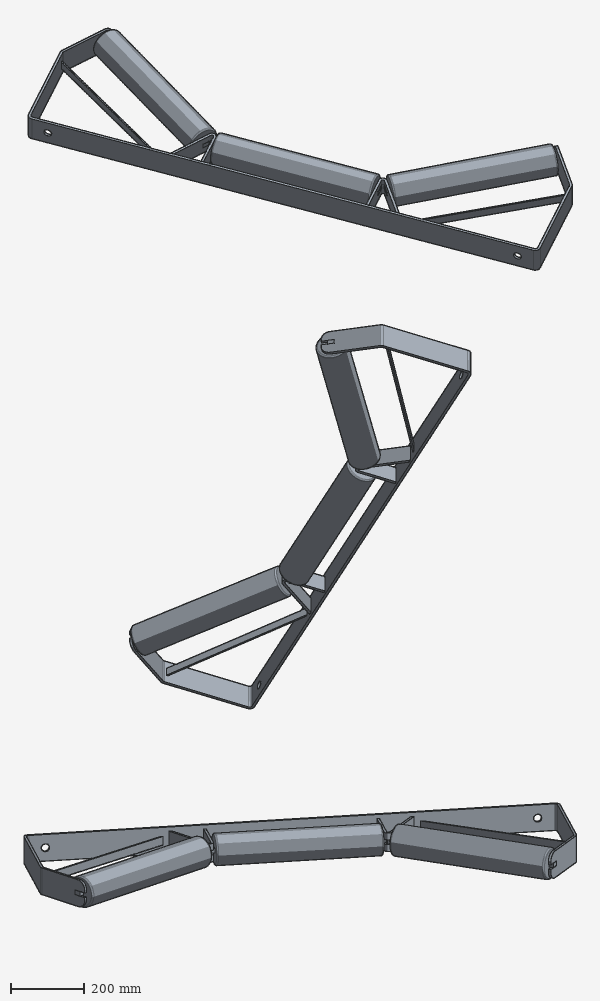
import cadquery as cq
import math


FRAME_LENGTH = 1490.0
STRIP_WIDTH = 77.0
STRIP_THICKNESS = 7.0
FOLD_HEIGHT = 271.0
ARM_LENGTH = 170.0
ARM_TIP_RADIUS = 25.0
BASE_BEND_RADIUS = 15.0
FOLD_BEND_RADIUS = 15.0
MOUNTING_HOLE_DIAMETER = 22.0
MOUNTING_HOLE_INSET = 61.0

TROUGH_ANGLE = 35.0
ROLLER_DIAMETER = 90.0
ROLLER_LENGTH = 465.0
ROLLER_EDGE_RADIUS = 5.0
CENTRE_ROLLER_HEIGHT = 103.0
WING_ROLLER_MIDDLE = (462.0, 247.0)
SHAFT_HEIGHT = 20.0
SHAFT_WIDTH = 13.0
INNER_GAP = 5.0

BRACKET_WIDTH = 54.0
BRACKET_BEND_RADIUS = 12.0
BRACE_WIDTH = 25.0
BRACE_THICKNESS = 5.0
BRACE_TOP_HEIGHT = 261.0
BRACE_FOOT_X = 358.0

HALF_LENGTH = FRAME_LENGTH / 2
HALF_ROLLER = ROLLER_LENGTH / 2
COS_TROUGH = math.cos(math.radians(TROUGH_ANGLE))
SIN_TROUGH = math.sin(math.radians(TROUGH_ANGLE))
AXIS = (COS_TROUGH, SIN_TROUGH)
ARM = (-SIN_TROUGH, COS_TROUGH)


def offset(point, direction, distance):
    """Move a point in the XY plane along a direction."""
    return (point[0] + direction[0] * distance, point[1] + direction[1] * distance)


def along(point, direction):
    """Distance of a point from the origin, measured along a direction."""
    return point[0] * direction[0] + point[1] * direction[1]


def plate(points, width):
    """Extrude an XY outline to a width centred on Z = 0."""
    return cq.Workplane("XY").polyline(points).close().extrude(width / 2, both=True)


def mirrored(body):
    """The same body on the opposite side of the YZ plane."""
    return body.mirror("YZ")


def round_corner(body, corner, radius):
    """Round the Z edge of a body that passes through an XY point."""
    reach = 0.1
    box = cq.selectors.BoxSelector(
        (corner[0] - reach, corner[1] - reach, -STRIP_WIDTH),
        (corner[0] + reach, corner[1] + reach, STRIP_WIDTH),
    )
    return body.edges("|Z").edges(box).fillet(radius)


FOLD = (HALF_LENGTH, FOLD_HEIGHT)
ARM_REACH = along(FOLD, AXIS) - along(WING_ROLLER_MIDDLE, AXIS)
LEG_REACH = HALF_ROLLER + INNER_GAP
INNER_SHAFT_REACH = LEG_REACH + STRIP_THICKNESS


def make_bar(start, end, bottom, top):
    """Bar along X, as wide as the shaft ends, between two X and two Y limits."""
    return (
        cq.Workplane("XY")
        .box(end - start, top - bottom, SHAFT_WIDTH, centered=(False, False, True))
        .translate((start, bottom, 0))
    )


def make_roller(left_reach, right_reach):
    """Roller along X with its flat shaft ends, reaching left and right of its middle."""
    drum = (
        cq.Workplane("YZ").workplane(offset=-HALF_ROLLER)
        .circle(ROLLER_DIAMETER / 2).extrude(ROLLER_LENGTH)
        .faces("<X or >X").edges().fillet(ROLLER_EDGE_RADIUS)
    )
    return drum.union(make_bar(-left_reach, right_reach, -SHAFT_HEIGHT / 2, SHAFT_HEIGHT / 2))


def make_shaft_slot(start, end):
    """Cutter along X for a shaft slot that is open upward."""
    return make_bar(start, end, -SHAFT_HEIGHT / 2, ROLLER_DIAMETER)


def place_on_wing(body):
    """Move a body from the X axis to the right wing roller axis."""
    x, y = WING_ROLLER_MIDDLE
    return body.rotate((0, 0, 0), (0, 0, 1), TROUGH_ANGLE).translate((x, y, 0))


def make_frame_half():
    """Right half of the bent strip: base, upright side and leaning arm."""
    bend_shift = STRIP_THICKNESS * math.tan(math.radians(TROUGH_ANGLE / 2))
    inner_x = HALF_LENGTH - STRIP_THICKNESS
    inner_fold = (inner_x, FOLD_HEIGHT - bend_shift)
    tip = offset(FOLD, ARM, ARM_LENGTH)
    outline = [
        (0, 0), (HALF_LENGTH, 0), FOLD, tip, offset(tip, AXIS, -STRIP_THICKNESS),
        inner_fold, (inner_x, STRIP_THICKNESS), (0, STRIP_THICKNESS),
    ]
    half = plate(outline, STRIP_WIDTH)
    half = round_corner(half, (HALF_LENGTH, 0), BASE_BEND_RADIUS)
    half = round_corner(half, (inner_x, STRIP_THICKNESS), BASE_BEND_RADIUS - STRIP_THICKNESS)
    half = round_corner(half, FOLD, FOLD_BEND_RADIUS)
    half = round_corner(half, inner_fold, FOLD_BEND_RADIUS - STRIP_THICKNESS)
    middle = offset(tip, AXIS, -STRIP_THICKNESS / 2)
    for z in (-STRIP_WIDTH / 2, STRIP_WIDTH / 2):
        corner = (middle[0], middle[1], z)
        half = half.edges(cq.selectors.NearestToPointSelector(corner)).fillet(ARM_TIP_RADIUS)
    slot = place_on_wing(make_shaft_slot(ARM_REACH - STRIP_THICKNESS, ARM_REACH))
    hole = (
        cq.Workplane("XZ").center(HALF_LENGTH - MOUNTING_HOLE_INSET, 0)
        .circle(MOUNTING_HOLE_DIAMETER / 2).extrude(-STRIP_THICKNESS)
    )
    return half.cut(slot).cut(hole)


def make_bracket():
    """Right folded bracket: an upright leg and a leaning leg."""
    foot_y = STRIP_THICKNESS
    slant = SIN_TROUGH / COS_TROUGH
    lean_face = offset(WING_ROLLER_MIDDLE, AXIS, -LEG_REACH)
    foot_x = lean_face[0] + (lean_face[1] - foot_y) * slant
    leg_foot = STRIP_THICKNESS / COS_TROUGH
    apex = (LEG_REACH, foot_y + (foot_x - LEG_REACH) / slant)
    inner_x = LEG_REACH + STRIP_THICKNESS
    inner_apex = (inner_x, foot_y + (foot_x - leg_foot - inner_x) / slant)
    outline = [
        (LEG_REACH, foot_y), apex, (foot_x, foot_y),
        (foot_x - leg_foot, foot_y), inner_apex, (inner_x, foot_y),
    ]
    bracket = plate(outline, BRACKET_WIDTH)
    bracket = round_corner(bracket, apex, BRACKET_BEND_RADIUS)
    bracket = round_corner(bracket, inner_apex, BRACKET_BEND_RADIUS - STRIP_THICKNESS)
    upright_slot = make_shaft_slot(LEG_REACH, INNER_SHAFT_REACH)
    upright_slot = upright_slot.translate((0, CENTRE_ROLLER_HEIGHT, 0))
    leaning_slot = place_on_wing(make_shaft_slot(-INNER_SHAFT_REACH, -LEG_REACH))
    return bracket.cut(upright_slot).cut(leaning_slot)


def make_brace():
    """Right flat brace from the upright side down to the base strip."""
    inner_x = HALF_LENGTH - STRIP_THICKNESS
    foot_y = STRIP_THICKNESS
    run = inner_x - BRACE_FOOT_X
    rise = BRACE_TOP_HEIGHT - foot_y
    length = math.hypot(run, rise)
    outline = [
        (BRACE_FOOT_X, foot_y), (inner_x, BRACE_TOP_HEIGHT),
        (inner_x, BRACE_TOP_HEIGHT - BRACE_THICKNESS * length / run),
        (BRACE_FOOT_X + BRACE_THICKNESS * length / rise, foot_y),
    ]
    return plate(outline, BRACE_WIDTH)


frame_half = make_frame_half()
frame = frame_half.union(mirrored(frame_half))
centre_roller = make_roller(INNER_SHAFT_REACH, INNER_SHAFT_REACH)
centre_roller = centre_roller.translate((0, CENTRE_ROLLER_HEIGHT, 0))
bodies = [frame.val(), centre_roller.val()]

wing_roller = place_on_wing(make_roller(INNER_SHAFT_REACH, ARM_REACH))
for right_body in (wing_roller, make_bracket(), make_brace()):
    bodies += [right_body.val(), mirrored(right_body).val()]

result = cq.Compound.makeCompound(bodies)